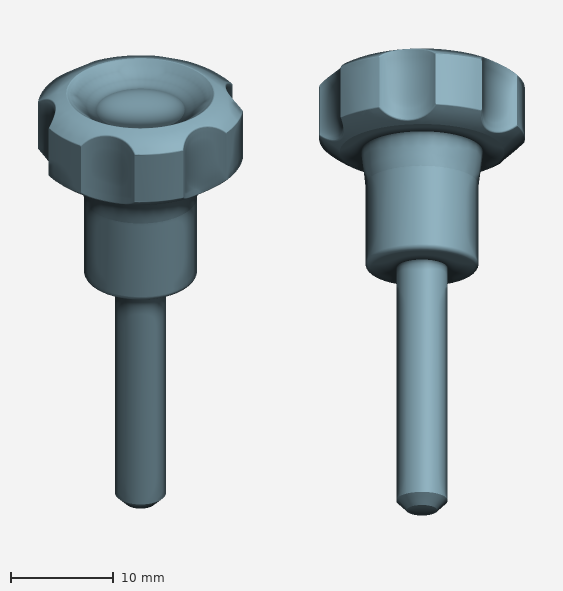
import cadquery as cq
import math

total_height = 45.0
head_height = 8.0
sleeve_length = 20.0
head_base_z = total_height - head_height
sleeve_base_z = total_height - sleeve_length
neck_height = 3.4
neck_base_z = head_base_z - neck_height

pin_radius = 5.0 / 2
pin_chamfer = 1.0

sleeve_radius = 11.0 / 2
sleeve_fillet = 0.5
neck_top_radius = 5.93

head_radius = 10.0
crown_height = 1.4
underside_height = 1.35
rim_top_z = total_height - crown_height
rim_base_z = head_base_z + underside_height
head_base_radius = 8.0
crown_bulge = 0.25
underside_bulge = 0.1

dish_radius = 7.15
dish_floor_radius = 4.3
dish_depth = 1.8
dish_bulge = 0.15

flute_count = 6
flute_radius = 4.0
flute_pitch_radius = 12.5

edge_fillet = 0.15

sharp_lip_z = total_height + 0.01


def bulged_midpoint(start, end, bulge):
    """Midpoint of a chord, shifted by the bulge to the right of start-to-end travel."""
    dx = end[0] - start[0]
    dy = end[1] - start[1]
    chord = math.hypot(dx, dy)
    return (
        (start[0] + end[0]) / 2 + bulge * dy / chord,
        (start[1] + end[1]) / 2 - bulge * dx / chord,
    )


def make_head():
    """Revolved head with a rounded crown, rounded underside and dished top."""
    base_edge = (head_base_radius, head_base_z)
    rim_base = (head_radius, rim_base_z)
    rim_top = (head_radius, rim_top_z)
    dish_edge = (dish_radius, sharp_lip_z)
    dish_floor = (dish_floor_radius, total_height - dish_depth)
    return (
        cq.Workplane("XZ")
        .moveTo(0, head_base_z)
        .lineTo(*base_edge)
        .threePointArc(bulged_midpoint(base_edge, rim_base, underside_bulge), rim_base)
        .lineTo(*rim_top)
        .threePointArc(bulged_midpoint(rim_top, dish_edge, crown_bulge), dish_edge)
        .threePointArc(bulged_midpoint(dish_edge, dish_floor, -dish_bulge), dish_floor)
        .lineTo(0, dish_floor[1])
        .close()
        .revolve(360, (0, 0, 0), (0, 1, 0))
    )


def make_flutes():
    """Vertical cylinders that scallop the rim, the first one on +X."""
    return (
        cq.Workplane("XY", origin=(0, 0, head_base_z))
        .polarArray(flute_pitch_radius, 0, 360, flute_count)
        .circle(flute_radius)
        .extrude(head_height)
    )


def make_stem():
    """Pin, sleeve and conical neck as one revolved body."""
    fillet_corner = sleeve_fillet * (1 - math.sqrt(0.5))
    return (
        cq.Workplane("XZ")
        .lineTo(pin_radius - pin_chamfer, 0)
        .lineTo(pin_radius, pin_chamfer)
        .lineTo(pin_radius, sleeve_base_z)
        .lineTo(sleeve_radius - sleeve_fillet, sleeve_base_z)
        .threePointArc(
            (sleeve_radius - fillet_corner, sleeve_base_z + fillet_corner),
            (sleeve_radius, sleeve_base_z + sleeve_fillet),
        )
        .lineTo(sleeve_radius, neck_base_z)
        .lineTo(neck_top_radius, head_base_z)
        .lineTo(0, head_base_z)
        .close()
        .revolve(360, (0, 0, 0), (0, 1, 0))
    )


def around_axis(edge):
    """Sort key that runs once around the vertical axis, starting just before the +X flute."""
    center = edge.Center()
    start_angle = math.pi / flute_count / 2
    angle = math.atan2(center.y, center.x) + start_angle
    return angle % (2 * math.pi)


def round_edges(knob):
    """Round the dish lip and the scalloped top and bottom edges of the grip."""
    grip_walls = knob.faces("%CYLINDER").filter(lambda face: face.Center().z > head_base_z)
    mid_rim_z = (rim_top_z + rim_base_z) / 2
    rim_edges = grip_walls.edges("not |Z")
    top_edges = rim_edges.filter(lambda edge: edge.Center().z > mid_rim_z)
    bottom_edges = rim_edges.filter(lambda edge: edge.Center().z < mid_rim_z)
    for loop_edges in (top_edges, bottom_edges):
        loop_in_order = loop_edges.sort(around_axis).vals()
        knob = knob.newObject(loop_in_order).fillet(edge_fillet)
    return knob.edges(">Z").fillet(edge_fillet)


sharp_knob = make_head().union(make_stem()).cut(make_flutes())
result = cq.Workplane(round_edges(sharp_knob).solids().val())